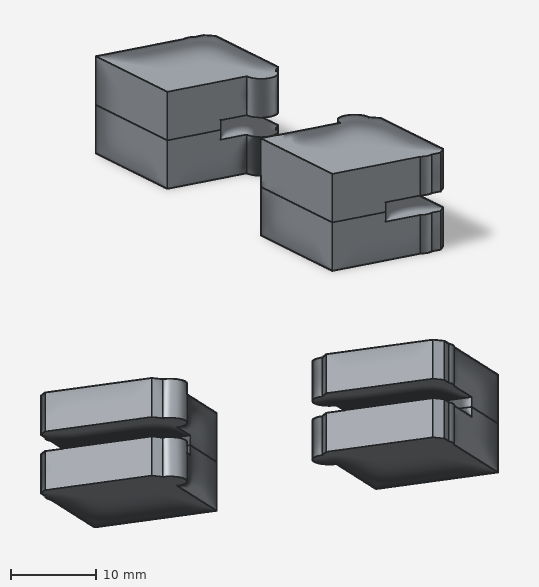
import cadquery as cq

overall_length = 52.61
block_width = 15.8
block_depth = 16.0
half_height = 6.0
corner_chamfer = 1.0

lug_radius = 2.0
bulge_radius = 1.7
bulge_height = 0.2
round_setback = 3.0

slot_height = 2.4
slot_depth = 8.6

back_y = block_depth / 2
round_center_y = back_y - round_setback
outer_face_x = overall_length / 2 - bulge_height
inner_face_x = outer_face_x - block_width
bulge_center_x = overall_length / 2 - bulge_radius


def block_body():
    """Plain upper half block on the +X side, with its two upright back edges chamfered."""
    return (
        cq.Workplane("XY")
        .box(block_width, block_depth, half_height, centered=(False, True, False))
        .translate((inner_face_x, 0, 0))
        .edges("|Z and >Y")
        .chamfer(corner_chamfer)
    )


def upright_cylinder(center_x, radius):
    """Cylinder of half block height that forms a rounded side feature."""
    return (
        cq.Workplane("XY")
        .center(center_x, round_center_y)
        .circle(radius)
        .extrude(half_height)
    )


def slot_half():
    """Upper half of the slot, cut right across the block, lug and bulge."""
    return (
        cq.Workplane("XY")
        .box(overall_length, slot_depth, slot_height / 2, centered=(True, False, False))
        .translate((0, back_y - slot_depth, 0))
    )


def upper_half_block():
    """Upper half block on the +X side, resting on the plane Z = 0."""
    lug = upright_cylinder(inner_face_x, lug_radius)
    bulge = upright_cylinder(bulge_center_x, bulge_radius)
    return block_body().union(lug).union(bulge).cut(slot_half())


right_upper = upper_half_block()
half_blocks = [right_upper, right_upper.mirror("XY")]
for right_half in list(half_blocks):
    half_blocks.append(right_half.mirror("YZ"))

result = cq.Compound.makeCompound([half_block.solids().val() for half_block in half_blocks])